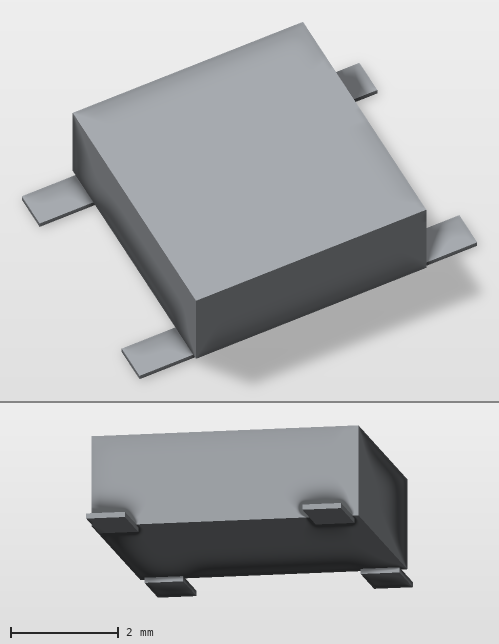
import cadquery as cq

overall_length = 7.04
overall_height = 1.81

lead_thickness = 0.1
lead_width = 0.73
lead_length = 1.32
lead_pitch = 4.09

housing_width = 5.05
housing_length = 4.8
housing_height = overall_height - lead_thickness


def make_housing():
    """Plain block resting on top of the leads."""
    return (
        cq.Workplane("XY")
        .workplane(offset=lead_thickness)
        .rect(housing_width, housing_length)
        .extrude(housing_height)
    )


def make_lead(x_side, y_side):
    """Flat lead at one corner, its outer end on the overall length."""
    center_x = x_side * lead_pitch / 2
    center_y = y_side * (overall_length - lead_length) / 2
    return (
        cq.Workplane("XY")
        .center(center_x, center_y)
        .rect(lead_width, lead_length)
        .extrude(lead_thickness)
    )


housing = make_housing()
leads = [make_lead(x_side, y_side) for x_side in (-1, 1) for y_side in (-1, 1)]

result = cq.Compound.makeCompound([housing.val(), *[lead.val() for lead in leads]])